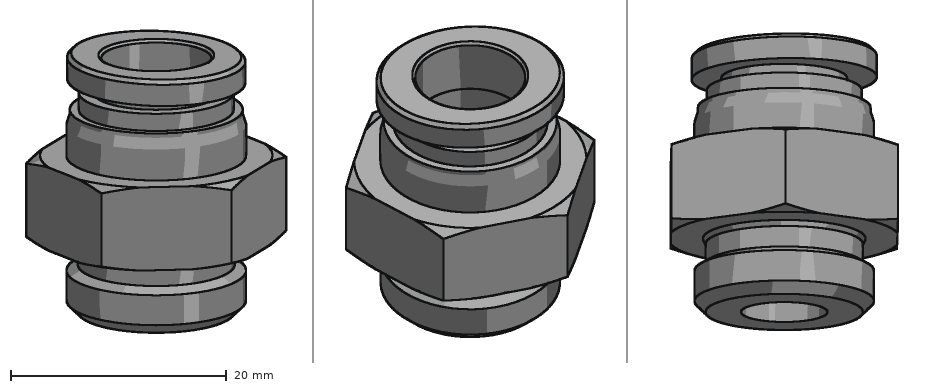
import cadquery as cq
import math


THREAD_CHAMFER_TOP = 1.04
THREAD_TOP = 3.93
RELIEF_BOTTOM = 4.52
RELIEF_TOP = 6.47
HEX_BOTTOM = 7.0
HEX_TOP = 15.02
SHOULDER_TOP = 17.98
RING_BOTTOM = 19.02
RING_TOP = 19.46
HOUSING_TOP = 21.12
COLLAR_BOTTOM = 22.25
COLLAR_TOP = 24.7

THREAD_DIAMETER = 16.67
RELIEF_DIAMETER = 14.6
RELIEF_FLARE = 0.25
SHOULDER_DIAMETER = 16.7
RING_DIAMETER = 16.05
HOUSING_TOP_DIAMETER = 14.4
TUBE_BORE_DIAMETER = 10.15
FLOW_DIAMETER = 8.0

HEX_ACROSS_FLATS = 21.0
HEX_ACROSS_CORNERS = HEX_ACROSS_FLATS / math.cos(math.radians(30))
HEX_FACE_DIAMETER = 21.56
HEX_CHAMFER_ANGLE = 20.0

COLLET_BOTTOM = RING_TOP
COLLET_NECK_DIAMETER = 11.7
COLLET_BORE_DIAMETER = 10.2
COLLET_BORE_CHAMFER = 0.27
COLLAR_LENGTH = 17.54
COLLAR_WIDTH = 16.05
COLLAR_CHAMFER = 0.4

TUBE_STOP_HEIGHT = HEX_BOTTOM


def cylinder(diameter, bottom, top):
    return cq.Workplane("XY").workplane(offset=bottom).circle(diameter / 2).extrude(top - bottom)


def revolved(profile):
    """Turn a closed (radius, height) outline around the Z axis."""
    return cq.Workplane("XZ").polyline(profile).close().revolve(360, (0, 0), (0, 1))


def make_turned_body():
    """Threaded end, relief groove and stepped upper barrel, still without the bore."""
    thread_radius = THREAD_DIAMETER / 2
    relief_radius = RELIEF_DIAMETER / 2
    shoulder_radius = SHOULDER_DIAMETER / 2
    ring_radius = RING_DIAMETER / 2
    top_radius = HOUSING_TOP_DIAMETER / 2
    return revolved([
        (0, 0),
        (relief_radius, 0),
        (thread_radius, THREAD_CHAMFER_TOP),
        (thread_radius, THREAD_TOP),
        (relief_radius, RELIEF_BOTTOM),
        (relief_radius, RELIEF_TOP),
        (relief_radius + RELIEF_FLARE, HEX_BOTTOM),
        (shoulder_radius, HEX_BOTTOM),
        (shoulder_radius, SHOULDER_TOP),
        (ring_radius, RING_BOTTOM),
        (ring_radius, RING_TOP),
        (top_radius, RING_TOP),
        (top_radius, HOUSING_TOP),
        (0, HOUSING_TOP),
    ])


def make_hexagon():
    """Hexagonal wrench section with its corners turned off at both ends."""
    prism = (
        cq.Workplane("XY")
        .workplane(offset=HEX_BOTTOM)
        .polygon(6, HEX_ACROSS_CORNERS)
        .extrude(HEX_TOP - HEX_BOTTOM)
    )
    face_radius = HEX_FACE_DIAMETER / 2
    corner_radius = HEX_ACROSS_CORNERS / 2
    corner_drop = (corner_radius - face_radius) * math.tan(math.radians(HEX_CHAMFER_ANGLE))
    envelope = revolved([
        (0, HEX_BOTTOM),
        (face_radius, HEX_BOTTOM),
        (corner_radius, HEX_BOTTOM + corner_drop),
        (corner_radius, HEX_TOP - corner_drop),
        (face_radius, HEX_TOP),
        (0, HEX_TOP),
    ])
    return prism.intersect(envelope)


def make_housing():
    flow_bore = cylinder(FLOW_DIAMETER, 0, HOUSING_TOP)
    tube_bore = cylinder(TUBE_BORE_DIAMETER, TUBE_STOP_HEIGHT, HOUSING_TOP)
    collet_seat = cylinder(COLLET_NECK_DIAMETER, COLLET_BOTTOM, HOUSING_TOP)
    return make_turned_body().union(make_hexagon()).cut(flow_bore).cut(tube_bore).cut(collet_seat)


def make_collet():
    """Release collet: round neck in the housing seat, oval collar above it, chamfered bore."""
    collar = (
        cq.Workplane("XY")
        .workplane(offset=COLLAR_BOTTOM)
        .ellipse(COLLAR_LENGTH / 2, COLLAR_WIDTH / 2)
        .extrude(COLLAR_TOP - COLLAR_BOTTOM)
        .faces(">Z")
        .edges()
        .chamfer(COLLAR_CHAMFER)
    )
    neck = cylinder(COLLET_NECK_DIAMETER, COLLET_BOTTOM, COLLAR_BOTTOM)
    bore = cylinder(COLLET_BORE_DIAMETER, COLLET_BOTTOM, COLLAR_TOP)
    bore_radius = COLLET_BORE_DIAMETER / 2
    countersink = revolved([
        (0, COLLAR_TOP - COLLET_BORE_CHAMFER),
        (bore_radius, COLLAR_TOP - COLLET_BORE_CHAMFER),
        (bore_radius + COLLET_BORE_CHAMFER, COLLAR_TOP),
        (0, COLLAR_TOP),
    ])
    return collar.union(neck).cut(bore).cut(countersink)


housing = make_housing()
collet = make_collet()

result = cq.Compound.makeCompound([housing.val(), collet.val()])